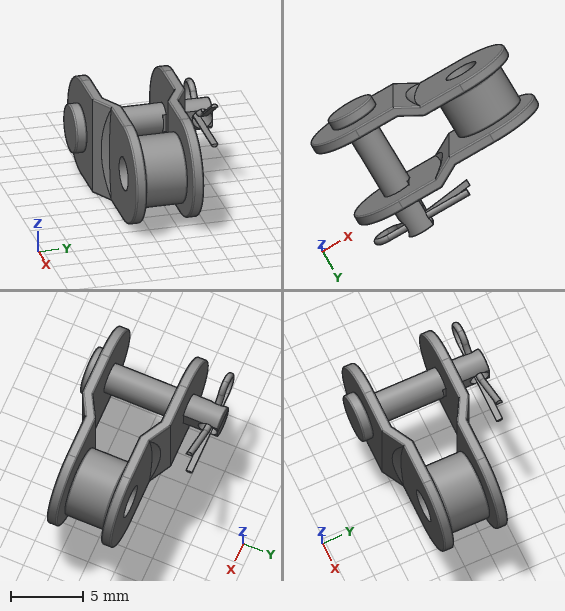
import math

import cadquery as cq

pitch = 8.0
edge_round = 0.1

plate_height = 7.15
end_radius = plate_height / 2
plate_length = 15.0
plate_thickness = 0.75
wide_inner_y = 2.57
wide_outer_y = wide_inner_y + plate_thickness
narrow_inner_y = 1.67
narrow_outer_y = narrow_inner_y + plate_thickness

outer_bend_start = 3.08
outer_bend_end = 4.7
inner_bend_start = 3.0
inner_bend_end = 4.62

relief_tip_setback = 0.44
relief_radius = 13.5
relief_flare = 0.875

bore_diameter = 2.38
bushing_diameter = 3.0
roller_diameter = 5.0
roller_width = 3.0

pin_diameter = 2.17
head_diameter = 3.45
head_thickness = 0.78
pin_total_length = 10.0
pin_head_y = -wide_outer_y - head_thickness
pin_end_y = pin_head_y + pin_total_length
pin_end_round = 0.05
flat_x = 0.87
flat_reach_inside_plate = 0.25
flat_start_y = wide_inner_y - flat_reach_inside_plate
cotter_hole_radius = 0.72
cotter_hole_end_wall = 0.02
cotter_y = pin_end_y - cotter_hole_end_wall - cotter_hole_radius

wire_radius = 0.23
loop_radius = 1.12
loop_center_x = -2.29
lower_leg_z = -0.68
loop_center_z = lower_leg_z + loop_radius
loop_end_angle = 54.0
leg_angle = 35.0
bend_end_x = 1.26
leg_tip_x = 4.12


def cylinder_along_y(x, radius, y_start, y_end):
    """Solid cylinder parallel to Y, between two Y positions."""
    base = cq.Workplane("XZ", origin=(x, y_start, 0))
    return base.circle(radius).extrude(y_start - y_end)


def cone_along_y(x, y_start, radius_start, y_end, radius_end):
    """Truncated cone around an axis parallel to Y."""
    direction = math.copysign(1, y_end - y_start)
    cone = cq.Solid.makeCone(
        radius_start,
        radius_end,
        abs(y_end - y_start),
        cq.Vector(x, y_start, 0),
        cq.Vector(0, direction, 0),
    )
    return cq.Workplane(obj=cone)


def make_plate():
    """Joggled obround plate on the +Y side, with rounded rims and relieved bends."""
    left = -end_radius
    right = left + plate_length
    section = (
        cq.Workplane("XY", origin=(0, 0, -plate_height / 2))
        .moveTo(left, wide_outer_y)
        .lineTo(outer_bend_start, wide_outer_y)
        .lineTo(outer_bend_end, narrow_outer_y)
        .lineTo(right, narrow_outer_y)
        .lineTo(right, narrow_inner_y)
        .lineTo(inner_bend_end, narrow_inner_y)
        .lineTo(inner_bend_start, wide_inner_y)
        .lineTo(left, wide_inner_y)
        .close()
        .extrude(plate_height)
    )
    outline = (
        cq.Workplane("XZ", origin=((left + right) / 2, wide_outer_y, 0))
        .slot2D(plate_length, plate_height)
        .extrude(wide_outer_y - narrow_inner_y)
    )
    plate = section.intersect(outline)
    plate = plate.edges("not(|Y or |Z)").fillet(edge_round)

    relief_depth = wide_outer_y - narrow_outer_y
    wide_end_radius = relief_radius + relief_flare * relief_depth
    outer_relief = cone_along_y(
        outer_bend_end - relief_tip_setback + relief_radius,
        narrow_outer_y,
        relief_radius,
        wide_outer_y,
        wide_end_radius,
    )
    inner_relief = cone_along_y(
        inner_bend_start + relief_tip_setback - relief_radius,
        wide_inner_y,
        relief_radius,
        narrow_inner_y,
        wide_end_radius,
    )
    return plate.cut(outer_relief).cut(inner_relief)


def make_bushing():
    """Bushing between the plates, with a fillet where it meets each plate."""
    radius = bushing_diameter / 2
    root = radius + edge_round
    top = narrow_inner_y
    middle = edge_round * (1 - math.sqrt(0.5))
    return (
        cq.Workplane("XY")
        .moveTo(0, -top)
        .lineTo(root, -top)
        .threePointArc((radius + middle, middle - top), (radius, edge_round - top))
        .lineTo(radius, top - edge_round)
        .threePointArc((radius + middle, top - middle), (root, top))
        .lineTo(0, top)
        .close()
        .revolve(360, (0, 0, 0), (0, 1, 0))
        .translate((pitch, 0, 0))
    )


def make_roller():
    """Roller drum with rounded rims."""
    roller = cylinder_along_y(pitch, roller_diameter / 2, -roller_width / 2, roller_width / 2)
    return roller.edges().fillet(edge_round)


def make_shank():
    """Pin shank from the inside of the head to the cotter end, with its flat."""
    shank = cylinder_along_y(0, pin_diameter / 2, -wide_outer_y, pin_end_y)
    shank = shank.faces(">Y").edges().fillet(pin_end_round)
    flat_length = pin_end_y - flat_start_y
    flat_cut = cq.Workplane("XY").box(
        pin_diameter, flat_length, pin_diameter, centered=(False, False, True)
    )
    return shank.cut(flat_cut.translate((flat_x, flat_start_y, 0)))


def make_link():
    """Both plates joined by the bushing and roller, with the bore and the pin holes."""
    plate = make_plate()
    link = plate.union(make_bushing()).union(make_roller()).union(plate.mirror("XZ"))
    bore = cylinder_along_y(pitch, bore_diameter / 2, -wide_outer_y, wide_outer_y)
    return link.cut(bore).cut(make_shank())


def make_pin():
    """Rounded head and shank, with a cross hole near the end for the cotter."""
    head = cylinder_along_y(0, head_diameter / 2, pin_head_y, -wide_outer_y)
    head = head.edges().fillet(edge_round)
    cotter_hole = (
        cq.Workplane("YZ", origin=(-pin_diameter, cotter_y, 0))
        .circle(cotter_hole_radius)
        .extrude(2 * pin_diameter)
    )
    return head.union(make_shank()).cut(cotter_hole)


def make_cotter():
    """Wire swept along its crown: bent upper leg, round loop, then straight lower leg."""
    loop_end = math.radians(loop_end_angle)
    leg = math.radians(leg_angle)

    def on_loop(angle):
        """Point on the loop crown, the angle measured from straight up toward +X."""
        x = loop_center_x + loop_radius * math.sin(angle)
        return x, loop_center_z + loop_radius * math.cos(angle)

    loop_exit = on_loop(loop_end)
    bend_radius = (bend_end_x - loop_exit[0]) / (math.sin(loop_end) + math.sin(leg))
    bend_center_x = loop_exit[0] + bend_radius * math.sin(loop_end)
    bend_center_z = loop_exit[1] + bend_radius * math.cos(loop_end)
    bend_bottom = (bend_center_x, bend_center_z - bend_radius)
    bend_end = (bend_end_x, bend_center_z - bend_radius * math.cos(leg))
    leg_run = leg_tip_x - wire_radius * math.sin(leg) - bend_end_x
    tip = (bend_end_x + leg_run, bend_end[1] + leg_run * math.tan(leg))

    crown = (
        cq.Workplane("XZ", origin=(0, cotter_y, 0))
        .moveTo(leg_tip_x, lower_leg_z)
        .lineTo(*on_loop(math.pi))
        .threePointArc(on_loop(-math.pi / 2), on_loop(0))
        .threePointArc(on_loop(loop_end / 2), loop_exit)
        .threePointArc(bend_bottom, bend_end)
        .lineTo(*tip)
    )
    section = (
        cq.Workplane("YZ", origin=(leg_tip_x, cotter_y, lower_leg_z))
        .moveTo(-wire_radius, wire_radius)
        .threePointArc((0, 0), (wire_radius, wire_radius))
        .close()
    )
    return section.sweep(crown)


link = make_link()
pin = make_pin()
cotter = make_cotter()

result = cq.Compound.makeCompound([link.val(), pin.val(), cotter.val()])